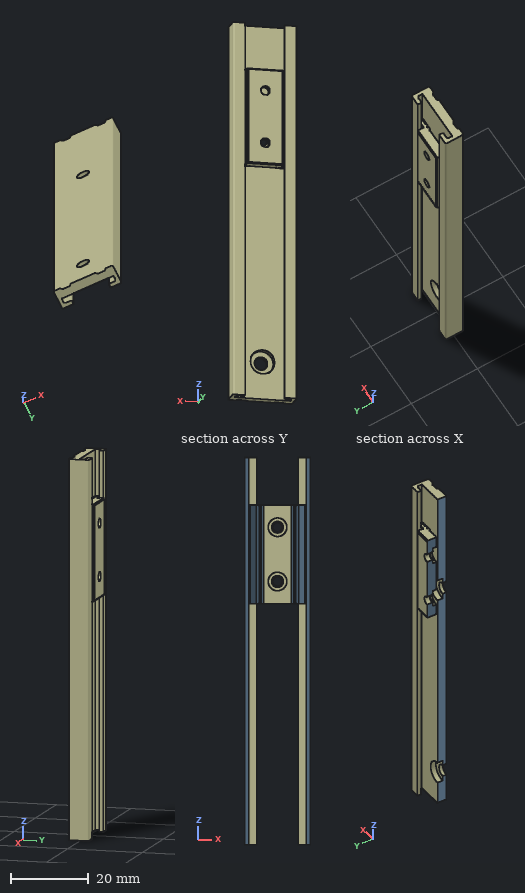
import cadquery as cq

RAIL_LENGTH = 100.0
RAIL_WIDTH = 17.0
RAIL_HEIGHT = 5.5
CORNER_RADIUS = 0.5
SMALL_RADIUS = 0.2

SLOT_WIDTH = 14.8
SLOT_FLOOR = 2.8
SLOT_ROOF = 4.3
MOUTH_WIDTH = 10.6

GROOVE_DEPTH = 0.5
GROOVE_INNER = 3.5
GROOVE_OUTER = 6.5

HOLE_HEIGHTS = (10.0, 70.0)
HOLE_RADIUS = 1.7
COUNTERBORE_RADIUS = 3.2
COUNTERBORE_DEPTH = 1.6

CARRIAGE_CENTER = 75.0
CARRIAGE_LENGTH = 25.5
CARRIAGE_START = CARRIAGE_CENTER - CARRIAGE_LENGTH / 2
CARRIAGE_WIDTH = 9.6
CARRIAGE_TOP = 6.0
CARRIAGE_CHAMFER = 0.3

LINER_WALL = 0.3
LINER_WIDTH = 14.2
WING_WIDTH = LINER_WIDTH - 2 * LINER_WALL
WING_TOP = SLOT_ROOF - LINER_WALL
WING_BOTTOM = SLOT_FLOOR + LINER_WALL

RIB_WIDTH = 0.8
RIB_CENTERS = (3.9, 5.1)
OUTER_RIB_SIDE = max(RIB_CENTERS) + RIB_WIDTH / 2

SCREW_SPACING = 14.0
SCREW_RADIUS = 1.2
SCREW_CHAMFER = 0.3
RECESS_RADIUS = 2.4
RECESS_DEPTH = 1.0
RECESS_END = WING_BOTTOM + RECESS_DEPTH

SIDES = (-1, 1)


def bar(x_from, x_to, y_from, y_to, start, length):
    """Block between the given X and Y limits that runs along Z from its start."""
    block = cq.Workplane("XY").box(x_to - x_from, y_to - y_from, length, centered=False)
    return block.translate((x_from, y_from, start))


def rail_bar(width, y_from, y_to):
    """Centred block as long as the rail."""
    return bar(-width / 2, width / 2, y_from, y_to, 0, RAIL_LENGTH)


def carriage_bar(x_from, x_to, y_from, y_to):
    """Block as long as the carriage."""
    return bar(x_from, x_to, y_from, y_to, CARRIAGE_START, CARRIAGE_LENGTH)


def disc(radius, y_from, y_to, z):
    """Cylinder with its axis along Y, at height z in the middle of the rail."""
    return cq.Workplane("XZ", origin=(0, y_from, z)).circle(radius).extrude(y_from - y_to)


def round_long_edge(body, x, y, radius):
    """Fillet the edge along Z that passes through x, y."""
    nearest = cq.selectors.NearestToPointSelector((x, y, RAIL_LENGTH / 2))
    return body.edges("|Z").edges(nearest).fillet(radius)


def make_groove(side):
    """Tool for one groove in the mounting face, with rounded floor corners."""
    outline = [
        (side * GROOVE_INNER, 0),
        (side * (GROOVE_INNER + GROOVE_DEPTH), GROOVE_DEPTH),
        (side * (GROOVE_OUTER - GROOVE_DEPTH), GROOVE_DEPTH),
        (side * GROOVE_OUTER, 0),
    ]
    groove = cq.Workplane("XY").polyline(outline).close().extrude(RAIL_LENGTH)
    return groove.edges("|Z and >Y").fillet(SMALL_RADIUS)


def make_rail():
    rail = rail_bar(RAIL_WIDTH, 0, RAIL_HEIGHT).edges("|Z").fillet(CORNER_RADIUS)
    slot = rail_bar(SLOT_WIDTH, SLOT_FLOOR, SLOT_ROOF).edges("|Z and >Y").fillet(CORNER_RADIUS)
    mouth = rail_bar(MOUTH_WIDTH, SLOT_FLOOR, RAIL_HEIGHT)
    rail = rail.cut(slot).cut(mouth)
    for side in SIDES:
        rail = rail.cut(make_groove(side))
        rail = round_long_edge(rail, side * GROOVE_INNER, 0, SMALL_RADIUS)
        rail = round_long_edge(rail, side * GROOVE_OUTER, 0, SMALL_RADIUS)
        rail = round_long_edge(rail, side * MOUTH_WIDTH / 2, SLOT_ROOF, SMALL_RADIUS)
    for z in HOLE_HEIGHTS:
        rail = rail.cut(disc(HOLE_RADIUS, 0, SLOT_FLOOR, z))
        rail = rail.cut(disc(COUNTERBORE_RADIUS, SLOT_FLOOR - COUNTERBORE_DEPTH, SLOT_FLOOR, z))
    return rail


def make_screw_hole(z):
    """Tool for one carriage hole: through bore, chamfered where it leaves its recess."""
    bore = disc(SCREW_RADIUS, RECESS_END, CARRIAGE_TOP, z)
    chamfer = cq.Workplane(
        cq.Solid.makeCone(
            SCREW_RADIUS + SCREW_CHAMFER,
            SCREW_RADIUS,
            SCREW_CHAMFER,
            pnt=cq.Vector(0, RECESS_END, z),
            dir=cq.Vector(0, 1, 0),
        )
    )
    recess = disc(RECESS_RADIUS, WING_BOTTOM, RECESS_END, z)
    return recess.union(bore).union(chamfer)


def make_carriage():
    half_width = CARRIAGE_WIDTH / 2
    carriage = carriage_bar(-half_width, half_width, WING_BOTTOM, CARRIAGE_TOP)
    carriage = carriage.faces(">Y").edges().chamfer(CARRIAGE_CHAMFER)
    carriage = carriage.union(carriage_bar(-WING_WIDTH / 2, WING_WIDTH / 2, WING_BOTTOM, WING_TOP))
    for side in SIDES:
        for center in RIB_CENTERS:
            rib_start = side * center - RIB_WIDTH / 2
            carriage = carriage.union(
                carriage_bar(rib_start, rib_start + RIB_WIDTH, SLOT_FLOOR, WING_BOTTOM)
            )
    for side in SIDES:
        carriage = carriage.cut(make_screw_hole(CARRIAGE_CENTER + side * SCREW_SPACING / 2))
    return carriage


def make_liner(side):
    """C-shaped liner around one wing: its upper arm reaches the carriage block, its lower arm a rib."""
    liner = carriage_bar(CARRIAGE_WIDTH / 2, LINER_WIDTH / 2, SLOT_FLOOR, SLOT_ROOF)
    liner = liner.edges("|Z and >X and >Y").fillet(CORNER_RADIUS)
    liner = liner.cut(carriage_bar(0, WING_WIDTH / 2, WING_BOTTOM, WING_TOP))
    liner = liner.cut(carriage_bar(0, OUTER_RIB_SIDE, SLOT_FLOOR, WING_BOTTOM))
    return liner if side > 0 else liner.mirror("YZ")


rail = make_rail()
carriage = make_carriage()
liners = [make_liner(side) for side in SIDES]

result = cq.Compound.makeCompound([rail.val(), carriage.val(), *[liner.val() for liner in liners]])